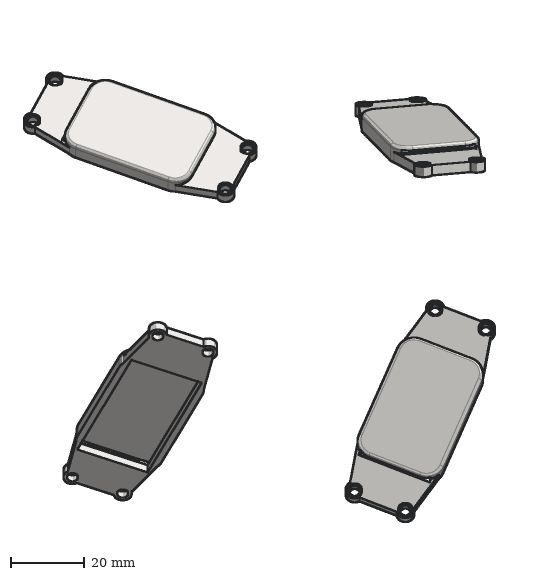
import cadquery as cq

length = 62.5
case_length = 37.5
case_width = 25.0
case_height = 5.0

wall = 1.0
cavity_width = 21.0
corner_radius = 5.0
top_fillet = 1.0
slot_depth = 1.0
slot_height = case_height - top_fillet

plate_thickness = 3.0
plate_end_x = 30.25
plate_end_half_width = 8.9
lug_diameter = 5.0
lug_spacing_y = 15.0
hole_diameter = 3.0
counterbore_diameter = 4.0
counterbore_depth = 0.5

case_end_x = case_length / 2
case_half_width = case_width / 2
corner_center_x = case_end_x - corner_radius
lug_x = (length - lug_diameter) / 2
lug_y = lug_spacing_y / 2
lug_centers = [(sx * lug_x, sy * lug_y) for sx in (-1, 1) for sy in (-1, 1)]


def rounded_block(size_x, size_y, height, radius):
    """Block standing on Z = 0 with rounded vertical edges."""
    return cq.Workplane("XY").rect(size_x, size_y).extrude(height).edges("|Z").fillet(radius)


def end_plate(side):
    """Tapered plate that widens toward the case; side is -1 or +1 along X."""
    outline = [
        (side * plate_end_x, -plate_end_half_width),
        (side * corner_center_x, -case_half_width),
        (side * corner_center_x, case_half_width),
        (side * plate_end_x, plate_end_half_width),
    ]
    return cq.Workplane("XY").polyline(outline).close().extrude(plate_thickness)


def end_pocket(size_x, height):
    """Box open at the bottom that starts at the -X end of the case."""
    return (
        cq.Workplane("XY", origin=(-case_end_x, 0, 0))
        .box(size_x, cavity_width, height, centered=(False, True, False))
    )


body = rounded_block(case_length, case_width, case_height, corner_radius)
body = body.faces(">Z").edges().fillet(top_fillet)
for side in (-1, 1):
    body = body.union(end_plate(side))
lugs = cq.Workplane("XY").pushPoints(lug_centers).circle(lug_diameter / 2).extrude(plate_thickness)
body = body.union(lugs)

body = body.cut(end_pocket(case_length - wall, plate_thickness))

body = body.cut(end_pocket(slot_depth, slot_height))

holes = cq.Workplane("XY").pushPoints(lug_centers).circle(hole_diameter / 2).extrude(plate_thickness)
counterbores = (
    cq.Workplane("XY", origin=(0, 0, plate_thickness - counterbore_depth))
    .pushPoints(lug_centers)
    .circle(counterbore_diameter / 2)
    .extrude(counterbore_depth)
)
result = body.cut(holes).cut(counterbores)